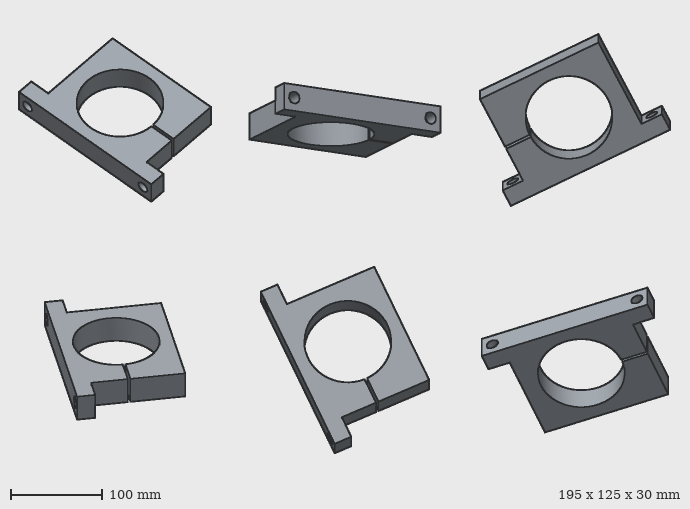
import cadquery as cq

base_length = 195.0
depth = 125.0
thickness = 30.0

base_depth = 20.0
ear_length = 25.0
body_length = base_length - 2 * ear_length

bore_diameter = 95.0
bore_x = 92.5
bore_y = depth / 2
slit_width = 3.0

hole_diameter = 13.0
hole_inset = ear_length / 2


def box_from_corner(x, y, length, width):
    """Full-thickness block with its lower-left corner at (x, y)."""
    block = cq.Workplane("XY").box(length, width, thickness, centered=False)
    return block.translate((x, y, 0))


base = box_from_corner(0, 0, base_length, base_depth)
body = box_from_corner(ear_length, 0, body_length, depth)
result = base.union(body)

bore = (
    cq.Workplane("XY")
    .center(bore_x, bore_y)
    .circle(bore_diameter / 2)
    .extrude(thickness)
)
result = result.cut(bore)

slit_length = base_length - bore_x
slit = box_from_corner(bore_x, bore_y - slit_width / 2, slit_length, slit_width)
result = result.cut(slit)

for hole_x in (hole_inset, base_length - hole_inset):
    hole = (
        cq.Workplane("XZ")
        .center(hole_x, thickness / 2)
        .circle(hole_diameter / 2)
        .extrude(-base_depth)
    )
    result = result.cut(hole)